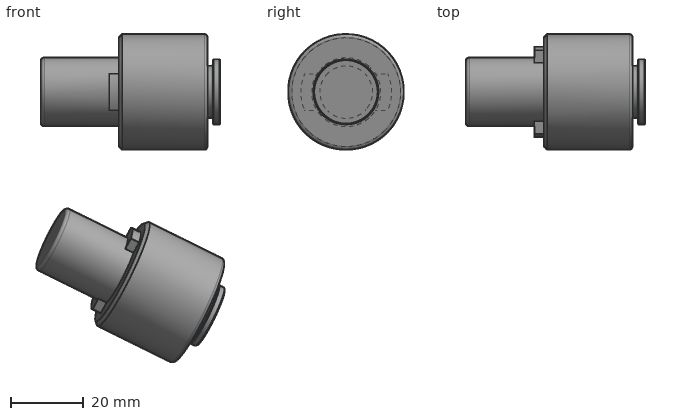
import cadquery as cq

overall_length = 49.5
body_start = 21.5
body_end = 46.0
head_start = 47.4
lug_height = 2.5

shaft_diameter = 19.0
body_diameter = 32.0
neck_diameter = 14.5
head_diameter = 18.0
lug_outer_diameter = 25.0

lug_width = 10.0
body_chamfer = 1.0
shaft_fillet = 1.0
body_fillet = 1.0
head_chamfer = 0.3
neck_fillet = 0.3


def cylinder_along_x(diameter, start, end):
    """Solid cylinder on the X axis between two positions."""
    return cq.Workplane("YZ", origin=(start, 0, 0)).circle(diameter / 2).extrude(end - start)


shaft = cylinder_along_x(shaft_diameter, 0, body_start).faces("<X").edges().fillet(shaft_fillet)

body = cylinder_along_x(body_diameter, body_start, body_end)
body = body.faces("<X").edges().chamfer(body_chamfer)
body = body.faces(">X").edges().fillet(body_fillet)

neck = cylinder_along_x(neck_diameter, body_end, head_start)
head = cylinder_along_x(head_diameter, head_start, overall_length).edges("%CIRCLE").chamfer(head_chamfer)
smallest_circle = cq.selectors.RadiusNthSelector(0)
tail = neck.union(head)
tail = tail.faces("<X[1]").edges(smallest_circle).fillet(neck_fillet)

lug_start = body_start - lug_height
lug_bar = cq.Workplane("XY").box(lug_height, lug_outer_diameter, lug_width)
lug_bar = lug_bar.translate((lug_start + lug_height / 2, 0, 0))
lugs = cylinder_along_x(lug_outer_diameter, lug_start, body_start).intersect(lug_bar)

result = shaft.union(body).union(tail).union(lugs)